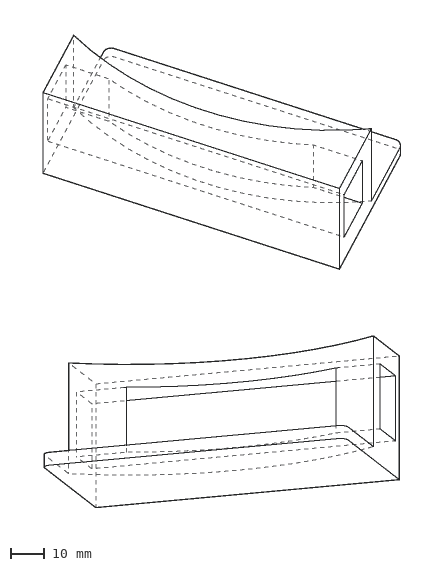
import cadquery as cq

length = 95.0
depth = 49.0
height = 38.0

plate_thickness = 4.0
corner_radius = 2.5

left_depth = 23.7
right_depth = 24.7
waist_depth = 12.0
waist_x = 46.5

channel_front = 3.6
channel_width = 14.0
channel_bottom = 11.0
channel_height = 19.95


def base_plate():
    plate = cq.Workplane("XY").box(length, depth, plate_thickness, centered=False)
    return plate.edges("|Z and >Y").fillet(corner_radius)


def concave_block():
    return (
        cq.Workplane("XY")
        .lineTo(length, 0)
        .lineTo(length, right_depth)
        .threePointArc((waist_x, waist_depth), (0, left_depth))
        .close()
        .extrude(height)
    )


def channel():
    return (
        cq.Workplane("XY")
        .box(length, channel_width, channel_height, centered=False)
        .translate((0, channel_front, channel_bottom))
    )


result = base_plate().union(concave_block()).cut(channel())